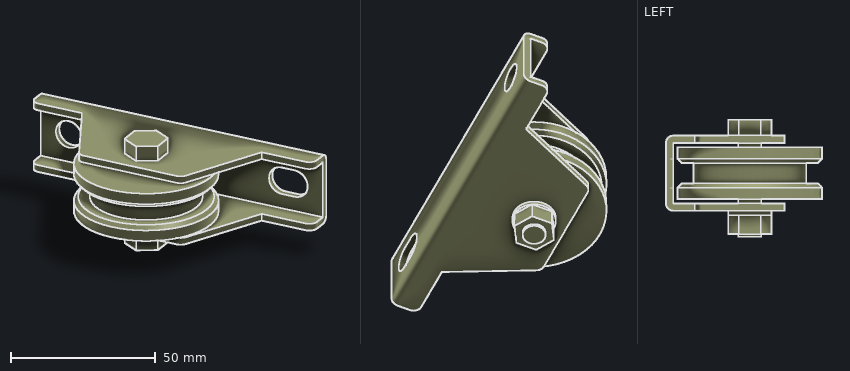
import cadquery as cq
import math


bracket_length = 110.0
bracket_height = 26.0
sheet = 2.6
bend_radius = sheet
back_y = 29.0
wing_depth = 10.0
plate_depth = 41.0
plate_root_width = 70.0
plate_tip_width = 40.0
corner_radius = 3.0

mount_hole_diameter = 10.0
mount_hole_x = 44.0
slot_length = 15.0

hex_across_flats = 13.0
head_height = 5.5
washer_diameter = 15.0
washer_thickness = 1.5
nut_height = 6.5
tip_length = 1.0
axle_diameter = 8.0

roller_diameter = 50.0
roller_width = 18.0
groove_diameter = 39.0
groove_width = 7.0
flange_chamfer = 1.5

half_height = bracket_height / 2
inner_height = bracket_height - 2 * sheet
hex_across_corners = hex_across_flats / math.cos(math.pi / 6)


def make_channel():
    """C-shaped channel, open toward -Y, with its two outer bends rounded."""
    channel = (
        cq.Workplane("XY")
        .box(bracket_length, plate_depth, bracket_height)
        .translate((0, back_y - plate_depth / 2, 0))
        .edges("|X and >Y")
        .fillet(bend_radius)
    )
    cavity = (
        cq.Workplane("XY")
        .box(bracket_length, plate_depth, inner_height)
        .translate((0, back_y - sheet - plate_depth / 2, 0))
    )
    return channel.cut(cavity)


def make_plate_outline():
    """Prism with the plan shape of both plates: narrow wings and a tapered middle."""
    half_length = bracket_length / 2
    wing_y = back_y - wing_depth
    tip_y = back_y - plate_depth
    right_side = [
        (half_length, back_y),
        (half_length, wing_y),
        (plate_root_width / 2, wing_y),
        (plate_tip_width / 2, tip_y),
    ]
    left_side = [(-x, y) for x, y in reversed(right_side)]
    prism = (
        cq.Workplane("XY")
        .workplane(offset=-half_height)
        .polyline(right_side + left_side)
        .close()
        .extrude(bracket_height)
    )
    rounded_corners = [right_side[1], right_side[3], left_side[0], left_side[2]]
    for x, y in rounded_corners:
        prism = prism.edges(cq.selectors.NearestToPointSelector((x, y, 0))).fillet(corner_radius)
    return prism


def make_mount_holes():
    """Cutters for the round hole (-X) and the slot (+X) in the back wall."""
    slot_travel = slot_length - mount_hole_diameter
    wall = cq.Workplane("XZ", origin=(0, back_y, 0))
    round_hole = wall.center(-mount_hole_x, 0).circle(mount_hole_diameter / 2).extrude(sheet)
    slot = (
        wall.center(mount_hole_x - slot_travel / 2, 0)
        .slot2D(slot_length, mount_hole_diameter)
        .extrude(sheet)
    )
    return round_hole.union(slot)


def make_hex(bottom_z, height):
    """Hexagonal prism on the roller axis with two corners along Y."""
    return (
        cq.Workplane("XY")
        .polygon(6, hex_across_corners)
        .extrude(height)
        .rotate((0, 0, 0), (0, 0, 1), 90)
        .translate((0, 0, bottom_z))
    )


def make_disc(bottom_z, height, diameter):
    """Round disc on the roller axis."""
    return cq.Workplane("XY").workplane(offset=bottom_z).circle(diameter / 2).extrude(height)


def make_bracket():
    """Sheet-metal channel together with the bolt head, washer, nut and bolt tip."""
    washer_bottom = -half_height - washer_thickness
    nut_bottom = washer_bottom - nut_height
    return (
        make_channel()
        .intersect(make_plate_outline())
        .cut(make_mount_holes())
        .union(make_hex(half_height, head_height))
        .union(make_disc(washer_bottom, washer_thickness, washer_diameter))
        .union(make_hex(nut_bottom, nut_height))
        .union(make_disc(nut_bottom - tip_length, tip_length, axle_diameter))
    )


def make_roller():
    """Grooved roller with a short axle stub on each side that meets the plates."""
    axle_r = axle_diameter / 2
    rim_r = roller_diameter / 2
    groove_r = groove_diameter / 2
    axle_z = inner_height / 2
    side_z = roller_width / 2
    groove_z = groove_width / 2
    upper_half = [
        (0, axle_z),
        (axle_r, axle_z),
        (axle_r, side_z),
        (rim_r, side_z),
        (rim_r, groove_z + flange_chamfer),
        (rim_r - flange_chamfer, groove_z),
        (groove_r, groove_z),
    ]
    lower_half = [(r, -z) for r, z in reversed(upper_half)]
    return (
        cq.Workplane("XZ")
        .polyline(upper_half + lower_half)
        .close()
        .revolve(360, (0, 0), (0, 1))
    )


bracket = make_bracket()
roller = make_roller()

result = cq.Compound.makeCompound([bracket.solids().val(), roller.solids().val()])